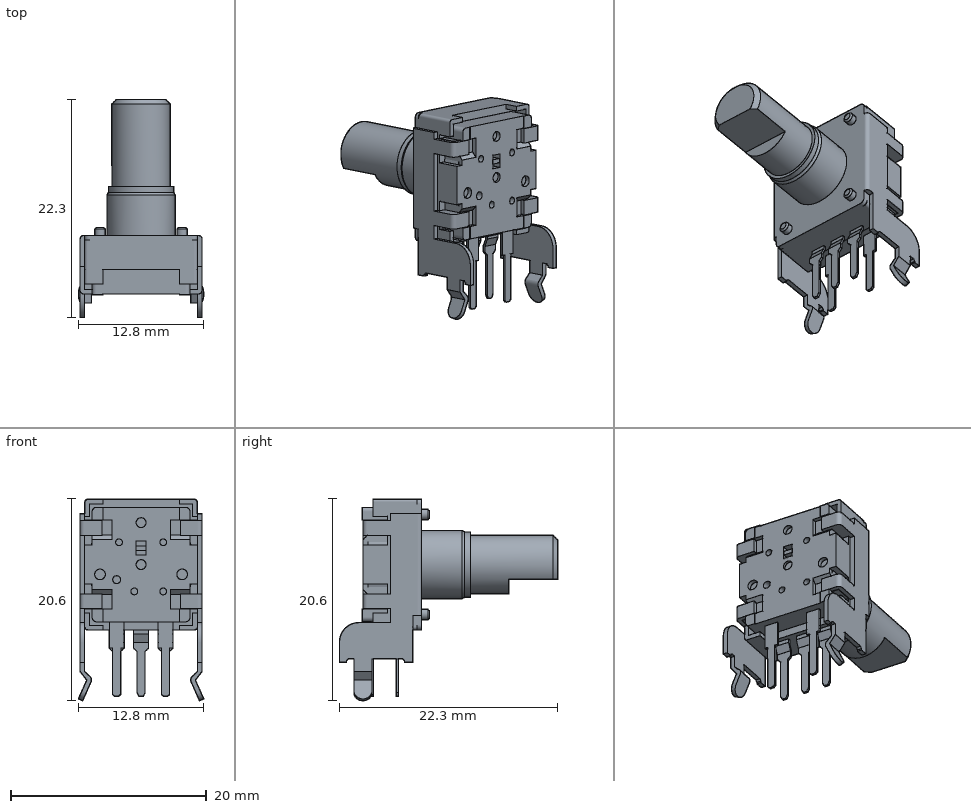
import cadquery as cq
import math


OVERALL_LENGTH = 22.3
OVERALL_WIDTH = 12.82

SHAFT_DIA = 6.0
SHAFT_END_Y = 13.9
SHAFT_CHAMFER = 0.5
FLAT_LENGTH = 5.0
FLAT_DEPTH = SHAFT_DIA / 4

BUSHING_DIA = 7.0
BUSHING_STRAIGHT = 4.1
BUSHING_TAPER = 0.3
NOSE_DIA = 6.7
BUSHING_FACE_Y = 5.0
PEG_DIA = 1.1
PEG_LENGTH = 0.8
PEG_CHAMFER = 0.18
PEG_X = 4.2
PEG_Z = 5.1

SHEET = 0.5
PLATE_CORNER_R = 0.5

CASE_HALF_X = 5.75
CASE_HALF_Z = 6.7
CASE_EDGE_R = 0.31
FLOOR_Y = -3.5
WALL_END_Y = -5.0
WALL_INNER_X = 3.9
WALL_INNER_Z = 4.93

BASE_HALF_X = 5.0
BASE_HALF_Z = 5.85
BASE_CORNER_R = 0.45
BASE_Y = -6.0
ARM_HALF_Z = 2.0
ARM_ROOT_X = 0.1
ARM_ROOT_Z = 0.3
PAD_RAISE = 0.1

RECESS_INNER_X = 2.99
RECESS_LOW_Z = 2.55
RECESS_HIGH_Z = 4.55
RECESS_FLOOR_Y = BASE_Y + SHEET

SMALL_DIA = 0.7
MEDIUM_DIA = 0.8
CENTRE_DIA = 1.0
SIDE_DIA = 1.1
SHALLOW = 0.3
MIDDLING = 0.5
DEEP = 1.0
BASE_HOLES = [
    (0, 0, CENTRE_DIA, SHALLOW),
    (0, 4.28, CENTRE_DIA, MIDDLING),
    (-4.2, -1.0, SIDE_DIA, MIDDLING),
    (4.2, -1.0, SIDE_DIA, MIDDLING),
    (-2.5, -1.54, MEDIUM_DIA, DEEP),
    (-2.25, 2.27, SMALL_DIA, DEEP),
    (2.25, 2.27, SMALL_DIA, DEEP),
    (2.25, -2.75, SMALL_DIA, DEEP),
    (-0.7, -2.75, SMALL_DIA, DEEP),
]

WINDOW_WIDTH = 1.0
WINDOW_LOW_Z = 0.98
WINDOW_HIGH_Z = 2.39
BAR_LOW_Z = 1.45
BAR_HIGH_Z = 1.9
BAR_RECESS = 0.1

BRACKET_HALF_X = CASE_HALF_X + SHEET
BRACKET_HALF_Z = 5.2
BRACKET_BEND_R = 0.4
TAB_LOW_Z = 2.99
TAB_HIGH_Z = 4.5
TAB_END_X = 4.01
TAB_BEND_R = 0.45
PLATE_WINDOW_Y = -3.2
FOOT_TOP_Z = -5.9
FOOT_BOTTOM_Z = -10.0
FOOT_FRONT_Y = -0.9
FOOT_REAR_Y = SHAFT_END_Y - OVERALL_LENGTH
FOOT_CORNER_R = 2.0
RELIEF_FRONT_Y = -1.76
RELIEF_REAR_Y = -7.67
RELIEF_HEIGHT = 0.35
RELIEF_CHAMFER = 0.2

LEG_WIDTH = 1.87
LEG_Y = BASE_Y
LEG_ANGLE = math.radians(24)
LEG_BOTTOM_Z = -13.92
LEG_TIP_X = OVERALL_WIDTH / 2
JOG_TOP_Z = -10.9
JOG_OUTER_Z = -11.8
KNEE_INNER_X = 5.15
KNEE_TOP_Z = -11.48
KNEE_BULGE = 0.1

TERMINAL_SHEET = 0.25
TERMINAL_BOTTOM_Z = -13.47
SHOULDER_Z = -8.52
SHOULDER_CHAMFER = 0.35
PIN_WIDTH = 0.85
TERMINAL_PITCH = 2.5
FRONT_ROW_Y = -4.9
FRONT_TERMINAL_WIDTH = 1.5
FRONT_TIP_CHAMFER = 0.2
REAR_ROW_Y = -2.36
REAR_TERMINAL_WIDTH = 1.55
REAR_TIP_WIDTH = 0.45
REAR_TIP_LENGTH = 0.4
CRANK_OFFSET = 0.38
CRANK_TOP_Z = -7.11
CRANK_BOTTOM_Z = -7.94


def block(x_low, x_high, y_low, y_high, z_low, z_high):
    """Axis-aligned box given by its limits."""
    size = (x_high - x_low, y_high - y_low, z_high - z_low)
    return cq.Workplane("XY").box(*size, centered=False).translate((x_low, y_low, z_low))


def facing(y):
    """Sketch plane at the given Y; sketch axes are X and Z, positive extrusion goes to -Y."""
    return cq.Workplane("XZ", origin=(0, y, 0))


def in_both_halves(shape):
    """The shape together with its mirror image across X = 0."""
    return shape.union(shape.mirror("YZ"))


def in_four_corners(shape):
    """The shape mirrored across X = 0 and across Z = 0."""
    pair = in_both_halves(shape)
    return pair.union(pair.mirror("XY"))


def make_shaft():
    """Shaft with a chamfered end and a flat on its -Z side; it stands on the bushing face."""
    length = SHAFT_END_Y - BUSHING_FACE_Y
    shaft = facing(SHAFT_END_Y).circle(SHAFT_DIA / 2).extrude(length)
    shaft = shaft.faces(">Y").chamfer(SHAFT_CHAMFER)
    radius = SHAFT_DIA / 2
    flat = block(-radius, radius, SHAFT_END_Y - FLAT_LENGTH, SHAFT_END_Y, -radius, FLAT_DEPTH - radius)
    return shaft.cut(flat)


def make_bushing():
    """Bushing that tapers to a slightly smaller nose and is rooted in the mounting plate."""
    taper_end = BUSHING_STRAIGHT + BUSHING_TAPER
    half_profile = [
        (0, -SHEET),
        (BUSHING_DIA / 2, -SHEET),
        (BUSHING_DIA / 2, BUSHING_STRAIGHT),
        (NOSE_DIA / 2, taper_end),
        (NOSE_DIA / 2, BUSHING_FACE_Y),
        (0, BUSHING_FACE_Y),
    ]
    return cq.Workplane("XY").polyline(half_profile).close().revolve(360, (0, 0, 0), (0, 1, 0))


def make_pegs():
    """Four locating pegs on the mounting plate."""
    peg = facing(PEG_LENGTH).center(PEG_X, PEG_Z).circle(PEG_DIA / 2).extrude(PEG_LENGTH + SHEET)
    return in_four_corners(peg.faces(">Y").chamfer(PEG_CHAMFER))


def make_case():
    """Mounting plate, case block behind it and the corner walls that rise from its floor."""
    width = 2 * CASE_HALF_X
    height = 2 * CASE_HALF_Z
    plate = facing(0).rect(width, height).extrude(SHEET).edges("|Y").fillet(PLATE_CORNER_R)
    case = facing(-SHEET).rect(width, height).extrude(-SHEET - WALL_END_Y)
    case = case.edges("|Y").fillet(CASE_EDGE_R)
    rim_space = [
        block(-CASE_HALF_X + SHEET, CASE_HALF_X - SHEET, WALL_END_Y, FLOOR_Y,
              -CASE_HALF_Z + SHEET, CASE_HALF_Z - SHEET),
        block(-CASE_HALF_X, CASE_HALF_X, WALL_END_Y, FLOOR_Y, -WALL_INNER_Z, WALL_INNER_Z),
        block(-WALL_INNER_X, WALL_INNER_X, WALL_END_Y, FLOOR_Y, -CASE_HALF_Z, CASE_HALF_Z),
    ]
    for space in rim_space:
        case = case.cut(space)
    return plate.union(case)


def make_tab_recess():
    """Recess for one tab, with a 45 degree slope on the side nearer the middle of the base."""
    profile = [
        (BASE_Y, RECESS_LOW_Z),
        (RECESS_FLOOR_Y, RECESS_LOW_Z + SHEET),
        (RECESS_FLOOR_Y, RECESS_HIGH_Z),
        (BASE_Y, RECESS_HIGH_Z),
    ]
    recess = cq.Workplane("YZ", origin=(RECESS_INNER_X, 0, 0)).polyline(profile).close()
    return recess.extrude(BASE_HALF_X - RECESS_INNER_X)


def make_arm_root():
    """Steep wedge where an arm meets the side of the base."""
    corner = (BASE_HALF_X, ARM_HALF_Z)
    profile = [corner, (BASE_HALF_X + ARM_ROOT_X, ARM_HALF_Z), (BASE_HALF_X, ARM_HALF_Z + ARM_ROOT_Z)]
    return facing(FLOOR_Y).polyline(profile).close().extrude(FLOOR_Y - RECESS_FLOOR_Y)


def make_window_cuts():
    """The two parts of the window, above and below the bar, and the recess over the bar."""
    half = WINDOW_WIDTH / 2
    window = block(-half, half, BASE_Y, BASE_Y + DEEP, WINDOW_LOW_Z, WINDOW_HIGH_Z)
    bar = block(-half, half, BASE_Y + BAR_RECESS, BASE_Y + DEEP, BAR_LOW_Z, BAR_HIGH_Z)
    return window.cut(bar)


def make_base():
    """Base block with corner pads, side arms, tab recesses, round holes and a window."""
    pad_face_y = BASE_Y - PAD_RAISE
    base = facing(FLOOR_Y).rect(2 * BASE_HALF_X, 2 * BASE_HALF_Z).extrude(FLOOR_Y - pad_face_y)
    base = base.edges("|Y").fillet(BASE_CORNER_R)

    base = base.cut(block(-WALL_INNER_X, WALL_INNER_X, pad_face_y, BASE_Y, -BASE_HALF_Z, BASE_HALF_Z))
    base = base.cut(block(-BASE_HALF_X, BASE_HALF_X, pad_face_y, BASE_Y, -RECESS_HIGH_Z, RECESS_HIGH_Z))
    base = base.cut(in_four_corners(make_tab_recess()))

    arms = block(-CASE_HALF_X, CASE_HALF_X, BASE_Y, FLOOR_Y, -ARM_HALF_Z, ARM_HALF_Z)
    tab_support = block(BASE_HALF_X, CASE_HALF_X, RECESS_FLOOR_Y, FLOOR_Y, TAB_LOW_Z, RECESS_HIGH_Z)
    base = base.union(arms).union(in_four_corners(tab_support)).union(in_four_corners(make_arm_root()))

    for x, z, diameter, depth in BASE_HOLES:
        hole = facing(BASE_Y).center(x, z).circle(diameter / 2).extrude(-depth)
        base = base.cut(hole)
    return base.cut(make_window_cuts())


def make_side_plate():
    """Plate on the +X side with its two tab stems and its foot."""
    relief_top_z = FOOT_BOTTOM_Z + RELIEF_HEIGHT
    relief_side_z = relief_top_z - RELIEF_CHAMFER
    arc_centre = (FOOT_REAR_Y + FOOT_CORNER_R, FOOT_TOP_Z - FOOT_CORNER_R)
    arc_reach = FOOT_CORNER_R * math.sqrt(0.5)
    arc_middle = (arc_centre[0] - arc_reach, arc_centre[1] + arc_reach)
    outline = (
        cq.Workplane("YZ", origin=(CASE_HALF_X, 0, 0))
        .moveTo(0, BRACKET_HALF_Z)
        .lineTo(PLATE_WINDOW_Y, BRACKET_HALF_Z)
        .lineTo(PLATE_WINDOW_Y, TAB_HIGH_Z)
        .lineTo(BASE_Y, TAB_HIGH_Z)
        .lineTo(BASE_Y, TAB_LOW_Z)
        .lineTo(PLATE_WINDOW_Y, TAB_LOW_Z)
        .lineTo(PLATE_WINDOW_Y, -TAB_LOW_Z)
        .lineTo(BASE_Y, -TAB_LOW_Z)
        .lineTo(BASE_Y, -TAB_HIGH_Z)
        .lineTo(PLATE_WINDOW_Y, -TAB_HIGH_Z)
        .lineTo(PLATE_WINDOW_Y, FOOT_TOP_Z)
        .lineTo(arc_centre[0], FOOT_TOP_Z)
        .threePointArc(arc_middle, (FOOT_REAR_Y, arc_centre[1]))
        .lineTo(FOOT_REAR_Y, FOOT_BOTTOM_Z)
        .lineTo(RELIEF_REAR_Y, FOOT_BOTTOM_Z)
        .lineTo(RELIEF_REAR_Y, relief_side_z)
        .lineTo(RELIEF_REAR_Y + RELIEF_CHAMFER, relief_top_z)
        .lineTo(RELIEF_FRONT_Y - RELIEF_CHAMFER, relief_top_z)
        .lineTo(RELIEF_FRONT_Y, relief_side_z)
        .lineTo(RELIEF_FRONT_Y, FOOT_BOTTOM_Z)
        .lineTo(FOOT_FRONT_Y, FOOT_BOTTOM_Z)
        .lineTo(FOOT_FRONT_Y, -BRACKET_HALF_Z)
        .lineTo(0, -BRACKET_HALF_Z)
        .close()
    )
    plate = outline.extrude(SHEET)
    plate = plate.edges(cq.selectors.NearestToPointSelector((BRACKET_HALF_X, 0, 0))).fillet(BRACKET_BEND_R)
    tab_middle_z = (TAB_LOW_Z + TAB_HIGH_Z) / 2
    for z in (tab_middle_z, -tab_middle_z):
        bend = cq.selectors.NearestToPointSelector((BRACKET_HALF_X, BASE_Y, z))
        plate = plate.edges(bend).fillet(TAB_BEND_R)
    return plate


def make_tab():
    """Tab folded inward over the base, in the +X, +Z corner."""
    return block(TAB_END_X, CASE_HALF_X, BASE_Y, RECESS_FLOOR_Y, TAB_LOW_Z, TAB_HIGH_Z)


def make_snap_leg():
    """Leg on the +X side: it jogs inward to a knee, then flares outward to a round end."""
    slope = math.tan(LEG_ANGLE)
    tip_inner_x = LEG_TIP_X - SHEET * math.cos(LEG_ANGLE)
    tip_outer_z = LEG_BOTTOM_Z + SHEET * math.sin(LEG_ANGLE)
    knee_outer_x = LEG_TIP_X - (JOG_OUTER_Z - tip_outer_z) * slope
    knee_bottom_z = LEG_BOTTOM_Z + (tip_inner_x - KNEE_INNER_X) / slope
    knee_middle = (KNEE_INNER_X - KNEE_BULGE, (KNEE_TOP_Z + knee_bottom_z) / 2)
    leg_top_z = FOOT_BOTTOM_Z + RELIEF_HEIGHT
    outline = (
        facing(LEG_Y + LEG_WIDTH / 2)
        .moveTo(BRACKET_HALF_X, leg_top_z)
        .lineTo(BRACKET_HALF_X, JOG_TOP_Z)
        .lineTo(knee_outer_x, JOG_OUTER_Z)
        .lineTo(LEG_TIP_X, tip_outer_z)
        .lineTo(tip_inner_x, LEG_BOTTOM_Z)
        .lineTo(KNEE_INNER_X, knee_bottom_z)
        .threePointArc(knee_middle, (KNEE_INNER_X, KNEE_TOP_Z))
        .lineTo(CASE_HALF_X, JOG_TOP_Z)
        .lineTo(CASE_HALF_X, leg_top_z)
        .close()
    )
    leg = outline.extrude(LEG_WIDTH)

    flare_plane = cq.Plane(
        origin=(tip_inner_x, LEG_Y, LEG_BOTTOM_Z),
        xDir=(0, 1, 0),
        normal=(math.cos(LEG_ANGLE), 0, math.sin(LEG_ANGLE)),
    )
    radius = LEG_WIDTH / 2
    corners = cq.Workplane(flare_plane).rect(LEG_WIDTH, LEG_WIDTH).extrude(SHEET)
    disc = cq.Workplane(flare_plane).center(0, radius).circle(radius).extrude(SHEET)
    return leg.cut(corners.cut(disc))


def make_front_terminal(x):
    """Straight terminal in the row nearest -Y: a wide top stepped to a narrow pin."""
    half_wide = FRONT_TERMINAL_WIDTH / 2
    half_pin = PIN_WIDTH / 2
    front_y = FRONT_ROW_Y - TERMINAL_SHEET
    wide = block(x - half_wide, x + half_wide, front_y, FRONT_ROW_Y, SHOULDER_Z, -BASE_HALF_Z)
    pin = block(x - half_pin, x + half_pin, front_y, FRONT_ROW_Y, TERMINAL_BOTTOM_Z, SHOULDER_Z)
    pin = pin.faces("<Z").edges("|Y").chamfer(FRONT_TIP_CHAMFER)
    return wide.union(pin)


def make_rear_terminal(x):
    """Cranked terminal that leaves the case bottom and ends in a tapered tip."""
    front_y = REAR_ROW_Y - TERMINAL_SHEET
    side_profile = [
        (front_y - CRANK_OFFSET, -CASE_HALF_Z),
        (front_y - CRANK_OFFSET, CRANK_TOP_Z),
        (front_y, CRANK_BOTTOM_Z),
        (front_y, TERMINAL_BOTTOM_Z),
        (REAR_ROW_Y, TERMINAL_BOTTOM_Z),
        (REAR_ROW_Y, CRANK_BOTTOM_Z),
        (REAR_ROW_Y - CRANK_OFFSET, CRANK_TOP_Z),
        (REAR_ROW_Y - CRANK_OFFSET, -CASE_HALF_Z),
    ]
    strip = cq.Workplane("YZ").polyline(side_profile).close().extrude(REAR_TERMINAL_WIDTH / 2, both=True)
    right_outline = [
        (REAR_TERMINAL_WIDTH / 2, -CASE_HALF_Z),
        (REAR_TERMINAL_WIDTH / 2, SHOULDER_Z),
        (PIN_WIDTH / 2, SHOULDER_Z - SHOULDER_CHAMFER),
        (PIN_WIDTH / 2, TERMINAL_BOTTOM_Z + REAR_TIP_LENGTH),
        (REAR_TIP_WIDTH / 2, TERMINAL_BOTTOM_Z),
    ]
    left_outline = [(-outline_x, z) for outline_x, z in reversed(right_outline)]
    outline = facing(0).polyline(right_outline + left_outline).close().extrude(-FLOOR_Y)
    return strip.intersect(outline).translate((x, 0, 0))


def make_housing():
    """Case, bushing, pegs, base, bracket and terminals as one solid."""
    housing = make_case().union(make_bushing()).union(make_pegs()).union(make_base())
    bracket_half = make_side_plate().union(make_snap_leg())
    housing = housing.union(in_both_halves(bracket_half)).union(in_four_corners(make_tab()))
    for x in (-TERMINAL_PITCH, TERMINAL_PITCH):
        housing = housing.union(make_front_terminal(x))
    for x in (-TERMINAL_PITCH, 0, TERMINAL_PITCH):
        housing = housing.union(make_rear_terminal(x))
    return housing


shaft = make_shaft()
housing = make_housing()
result = cq.Compound.makeCompound([*housing.solids().vals(), shaft.solids().val()])